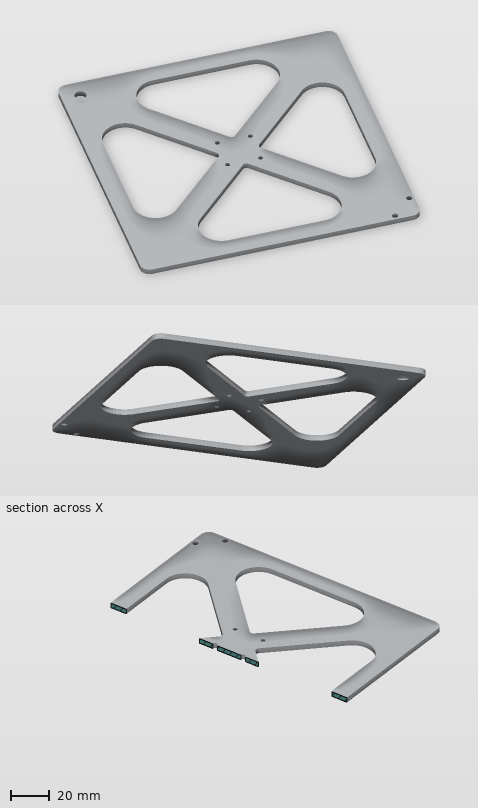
import cadquery as cq
import math

side = 150.0
thickness = 3.0
corner_radius = 5.0

rim_width = 10.0
rib_width = 14.1
outer_fillet = 12.0
inner_fillet = 2.0

centre_hole_diameter = 2.5
centre_hole_offset = 8.8
edge_hole_diameter = 3.2
edge_hole_inset = 2.7
edge_hole_corner_distance = 13.6
corner_hole_diameter = 6.2
corner_hole_inset = 10.0


def window(angle):
    """Triangular cutter pointing at the plate centre, turned about Z."""
    apex = rib_width / math.sqrt(2)
    base = side / 2 - rim_width
    half_base = base - apex
    triangle = (
        cq.Workplane("XY")
        .polyline([(apex, 0), (base, -half_base), (base, half_base)])
        .close()
        .extrude(thickness)
    )
    rounded = triangle.edges("|Z and >X").fillet(outer_fillet)
    rounded = rounded.edges("|Z and <X").fillet(inner_fillet)
    return rounded.rotate((0, 0, 0), (0, 0, 1), angle)


def holes(points, diameter):
    """Through-hole cutters at the given points."""
    return cq.Workplane("XY").pushPoints(points).circle(diameter / 2).extrude(thickness)


result = cq.Workplane("XY").rect(side, side).extrude(thickness)
result = result.edges("|Z").fillet(corner_radius)

for quarter in range(4):
    result = result.cut(window(90 * quarter))

centre_points = [(x * centre_hole_offset, y * centre_hole_offset) for x in (-1, 1) for y in (-1, 1)]
result = result.cut(holes(centre_points, centre_hole_diameter))

near_edge = side / 2 - edge_hole_inset
along_edge = side / 2 - edge_hole_corner_distance
edge_points = [(along_edge, near_edge), (near_edge, along_edge)]
result = result.cut(holes(edge_points, edge_hole_diameter))

corner_position = corner_hole_inset - side / 2
result = result.cut(holes([(corner_position, corner_position)], corner_hole_diameter))